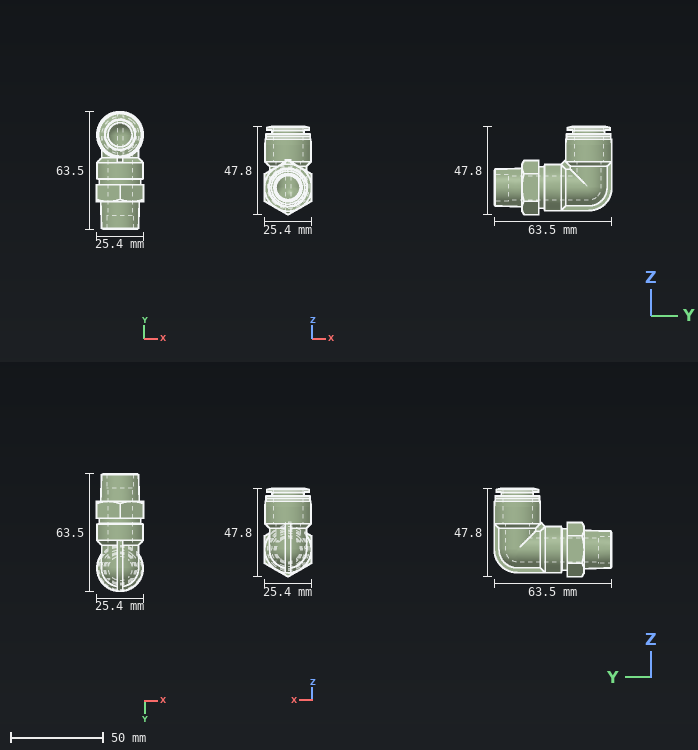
import cadquery as cq
import math


NECK_RADIUS = 10.0
COLLAR_RADIUS = 12.5
COLLAR_FLARE = COLLAR_RADIUS - NECK_RADIUS
WEB_THICKNESS = 2.8
GUSSET_REACH = 27.4

SOCKET_FLARE_START = 11.45
SOCKET_FLARE_END = SOCKET_FLARE_START + COLLAR_FLARE
SOCKET_TAPER_START = 23.05
SOCKET_TAPER_END = 26.1
SOCKET_TAPER_RADIUS = 12.3
CAP_RADIUS = 12.0
CAP_GROOVE_RADIUS = 11.8
CAP_GROOVE_BOTTOM = 27.3
CAP_GROOVE_TOP = 27.55
CAP_TOP = 29.0
CAP_CHAMFER = 0.2

RING_NECK_RADIUS = 17.38 / 2
RING_RADIUS = 11.5
RING_BOTTOM = 31.0
RING_RIM_TOP = 32.25
RING_RIM_CHAMFER_WIDTH = 0.4
RING_RIM_CHAMFER_HEIGHT = 0.2
RING_ROOT_WIDTH = 0.15
RING_ROOT_HEIGHT = 0.3
TOTAL_HEIGHT = 47.76

STUD_FLARE_START = 12.45
STUD_FLARE_END = STUD_FLARE_START + COLLAR_FLARE
STUD_COLLAR_END = 23.65
STUD_COLLAR_SLOPE_LENGTH = 0.45
STUD_NECK_RADIUS = 22.5 / 2
HEX_START = 26.85
HEX_END = 36.0
HEX_FLATS = 25.4
HEX_CORNER_RADIUS = HEX_FLATS / 2 / math.cos(math.radians(30))
HEX_CHAMFER_ANGLE = 30
HEX_CHAMFER_LENGTH = (HEX_CORNER_RADIUS - HEX_FLATS / 2) * math.tan(math.radians(HEX_CHAMFER_ANGLE))
TOTAL_LENGTH = 63.5
STUD_END = TOTAL_LENGTH - COLLAR_RADIUS
THREAD_RADIUS = 20.955 / 2
THREAD_TAPER = 1 / 32
THREAD_TIP_CHAMFER = 0.65
THREAD_TIP_RADIUS = 8.95

FLOW_RADIUS = 13.0 / 2
TUBE_RADIUS = 15.88 / 2
TUBE_STOP_HEIGHT = SOCKET_FLARE_END
TUBE_CHAMFER = 0.35
STUD_BORE_RADIUS = 14.22 / 2
STUD_BORE_DEPTH = 7.5
STUD_BORE_STOP = STUD_END - STUD_BORE_DEPTH
STUD_BORE_CHAMFER = 0.5

GUSSET_TOP = GUSSET_REACH - NECK_RADIUS
RING_TOP = TOTAL_HEIGHT - HEX_CORNER_RADIUS


def turned_along_z(profile):
    """Revolve (radius, height) points about the Z axis."""
    return cq.Workplane("XZ").polyline(profile).close().revolve(360, (0, 0), (0, 1))


def turned_along_stud(profile):
    """Revolve (radius, distance) points about the stud axis, distance towards -Y."""
    return turned_along_z(profile).rotate((0, 0, 0), (1, 0, 0), 90)


def make_socket():
    """Vertical neck, flared collar, grooved cap and release ring."""
    rim_chamfer_radius = RING_RADIUS - RING_RIM_CHAMFER_WIDTH
    return turned_along_z([
        (0, 0),
        (NECK_RADIUS, 0),
        (NECK_RADIUS, SOCKET_FLARE_START),
        (COLLAR_RADIUS, SOCKET_FLARE_END),
        (COLLAR_RADIUS, SOCKET_TAPER_START),
        (SOCKET_TAPER_RADIUS, SOCKET_TAPER_END),
        (CAP_RADIUS, SOCKET_TAPER_END),
        (CAP_RADIUS, CAP_GROOVE_BOTTOM),
        (CAP_GROOVE_RADIUS, CAP_GROOVE_BOTTOM),
        (CAP_GROOVE_RADIUS, CAP_GROOVE_TOP),
        (CAP_RADIUS, CAP_GROOVE_TOP),
        (CAP_RADIUS, CAP_TOP - CAP_CHAMFER),
        (CAP_RADIUS - CAP_CHAMFER, CAP_TOP),
        (RING_NECK_RADIUS, CAP_TOP),
        (RING_NECK_RADIUS, RING_BOTTOM - RING_ROOT_HEIGHT),
        (RING_NECK_RADIUS + RING_ROOT_WIDTH, RING_BOTTOM),
        (RING_RADIUS, RING_BOTTOM),
        (RING_RADIUS, RING_RIM_TOP),
        (rim_chamfer_radius, RING_RIM_TOP + RING_RIM_CHAMFER_HEIGHT),
        (TUBE_RADIUS + TUBE_CHAMFER, RING_TOP),
        (0, RING_TOP),
    ])


def make_stud():
    """Horizontal neck, flared collar, plain neck and tapered thread body."""
    tip_start = STUD_END - THREAD_TIP_CHAMFER
    thread_end_radius = THREAD_RADIUS - THREAD_TAPER * (tip_start - HEX_END)
    return turned_along_stud([
        (0, 0),
        (NECK_RADIUS, 0),
        (NECK_RADIUS, STUD_FLARE_START),
        (COLLAR_RADIUS, STUD_FLARE_END),
        (COLLAR_RADIUS, STUD_COLLAR_END),
        (STUD_NECK_RADIUS, STUD_COLLAR_END + STUD_COLLAR_SLOPE_LENGTH),
        (STUD_NECK_RADIUS, HEX_END),
        (THREAD_RADIUS, HEX_END),
        (thread_end_radius, tip_start),
        (THREAD_TIP_RADIUS, STUD_END),
        (0, STUD_END),
    ])


def make_hexagon():
    """Hexagon with corners up and down, its outer end chamfered to a circle."""
    prism = (
        cq.Workplane("XY")
        .workplane(offset=HEX_START)
        .polygon(6, 2 * HEX_CORNER_RADIUS)
        .extrude(HEX_END - HEX_START)
        .rotate((0, 0, 0), (0, 0, 1), 90)
        .rotate((0, 0, 0), (1, 0, 0), 90)
    )
    chamfer_envelope = turned_along_stud([
        (0, HEX_START),
        (HEX_CORNER_RADIUS, HEX_START),
        (HEX_CORNER_RADIUS, HEX_END - HEX_CHAMFER_LENGTH),
        (HEX_FLATS / 2, HEX_END),
        (0, HEX_END),
    ])
    return prism.intersect(chamfer_envelope)


def make_web():
    """Flat web in the plane of the elbow, round outside the bend, sloped in the inner corner."""
    bend_middle = COLLAR_RADIUS * math.sqrt(0.5)
    return (
        cq.Workplane("YZ")
        .moveTo(COLLAR_RADIUS, SOCKET_FLARE_END)
        .lineTo(COLLAR_RADIUS, 0)
        .threePointArc((bend_middle, -bend_middle), (0, -COLLAR_RADIUS))
        .lineTo(-STUD_FLARE_END, -COLLAR_RADIUS)
        .lineTo(-STUD_FLARE_END, GUSSET_REACH - STUD_FLARE_END)
        .lineTo(-NECK_RADIUS, GUSSET_TOP)
        .lineTo(0, GUSSET_TOP)
        .lineTo(0, SOCKET_FLARE_END)
        .close()
        .extrude(WEB_THICKNESS / 2, both=True)
    )


def make_bore():
    """Flow passage with a spherical corner, tube socket bore and stud counterbore."""
    tube_bore = turned_along_z([
        (0, 0),
        (FLOW_RADIUS, 0),
        (FLOW_RADIUS, TUBE_STOP_HEIGHT),
        (TUBE_RADIUS, TUBE_STOP_HEIGHT),
        (TUBE_RADIUS, RING_TOP - TUBE_CHAMFER),
        (TUBE_RADIUS + TUBE_CHAMFER, RING_TOP),
        (0, RING_TOP),
    ])
    stud_bore = turned_along_stud([
        (0, 0),
        (FLOW_RADIUS, 0),
        (FLOW_RADIUS, STUD_BORE_STOP),
        (STUD_BORE_RADIUS, STUD_BORE_STOP),
        (STUD_BORE_RADIUS, STUD_END - STUD_BORE_CHAMFER),
        (STUD_BORE_RADIUS + STUD_BORE_CHAMFER, STUD_END),
        (0, STUD_END),
    ])
    corner = cq.Workplane("XY").sphere(FLOW_RADIUS)
    return tube_bore.union(stud_bore).union(corner)


bend = cq.Workplane("XY").sphere(NECK_RADIUS)
body = make_socket().union(make_stud()).union(bend).union(make_web()).union(make_hexagon())
result = body.cut(make_bore())